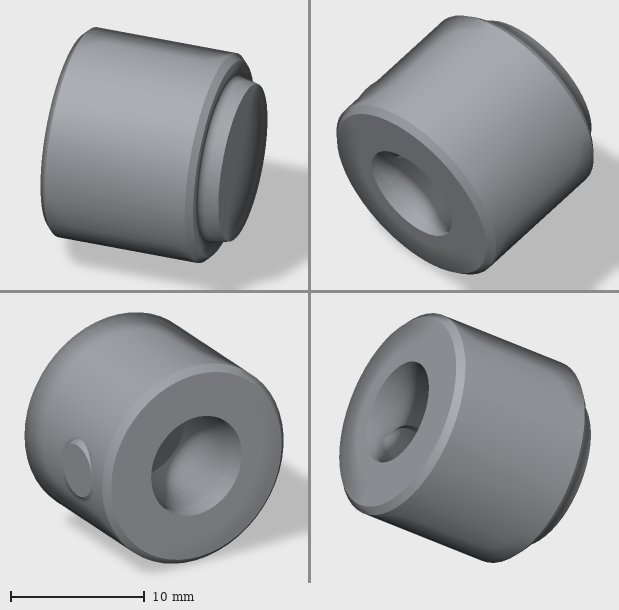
import cadquery as cq

body_radius = 8.0
body_length = 12.0
edge_chamfer = 0.5

collar_length = 1.5
collar_base_radius = 6.4
collar_end_radius = 6.0
overall_length = body_length + collar_length

bore_radius = body_radius / 2
bore_depth = 8.0

screw_x = 4.0
screw_radius = 2.5
hole_radius = 2.1
screw_chamfer = 0.45
tip_height = 0.67
tip_base_y = bore_radius
tip_apex_y = tip_base_y - tip_height


def make_body():
    """Revolve the chamfered body and its tapered collar about X."""
    chamfer_radius = body_radius - edge_chamfer
    profile = [
        (0, 0),
        (0, chamfer_radius),
        (edge_chamfer, body_radius),
        (body_length - edge_chamfer, body_radius),
        (body_length, chamfer_radius),
        (body_length, collar_base_radius),
        (overall_length, collar_end_radius),
        (overall_length, 0),
    ]
    return cq.Workplane("XY").polyline(profile).close().revolve(360, (0, 0), (1, 0))


def make_bore():
    return cq.Workplane("YZ").circle(bore_radius).extrude(bore_depth)


def make_screw_hole():
    """Radial hole running from the bore axis out through the body wall."""
    hole = cq.Workplane("XZ").circle(hole_radius).extrude(-body_radius)
    return hole.translate((screw_x, 0, 0))


def make_screw():
    """Screw with a shallow conical tip in the bore and a chamfered outer end."""
    profile = [
        (0, tip_apex_y),
        (screw_radius, tip_base_y),
        (screw_radius, body_radius - screw_chamfer),
        (screw_radius - screw_chamfer, body_radius),
        (0, body_radius),
    ]
    screw = cq.Workplane("XY").polyline(profile).close().revolve(360, (0, 0), (0, 1))
    return screw.translate((screw_x, 0, 0))


result = make_body().cut(make_bore()).cut(make_screw_hole()).union(make_screw())